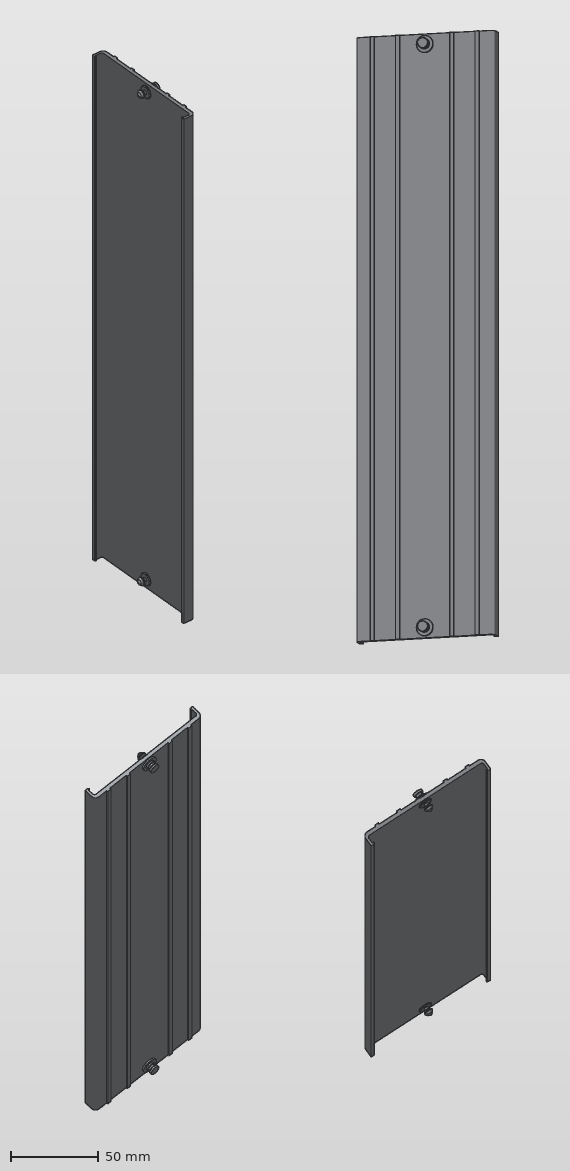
import cadquery as cq

length = 353.0
width = 83.3
flange_depth = 8.5
web_thickness = 2.5
flange_thickness = 1.6
inner_bend_radius = 1.5
outer_bend_radius = inner_bend_radius + flange_thickness
lip_reach = 0.9
lip_thickness = 1.0
lip_chamfer = 0.42
web_front = flange_depth - web_thickness

rib_width = 2.5
rib_height = 0.9
rib_offsets = (16.2, 31.5)

fastener_inset = 6.0
fastener_heights = (fastener_inset, length - fastener_inset)
shank_radius = 1.5
front_collar_radius = 4.2
front_collar_chamfer = 0.53
front_collar_thickness = 0.9
back_flange_radius = 5.0
back_flange_thickness = 1.0
knob_radius = 3.0
knob_groove_radius = 2.0
knob_front_disc_thickness = 1.0
knob_back_disc_thickness = 1.5
knob_end = 13.8
tip_radius = 2.65
tip_end_radius = 0.53
tip_middle_radius = 1.8
tip_middle = 0.9
tip_band_start = 2.0
tip_band_end = 3.0
tip_shoulder = 4.0


def box(x_min, x_max, y_min, y_max):
    """Full-length bar with the given cross-section limits."""
    return (
        cq.Workplane("XY")
        .box(x_max - x_min, y_max - y_min, length, centered=False)
        .translate((x_min, y_min, 0))
    )


def make_panel():
    """Bent channel with lips, back ribs and one hole for each fastener shank."""
    half_width = width / 2
    inner_half = half_width - flange_thickness

    panel = box(-half_width, half_width, 0, flange_depth)
    panel = panel.edges("|Z and >Y").fillet(outer_bend_radius)
    channel = box(-inner_half, inner_half, 0, web_front)
    channel = channel.edges("|Z and >Y").fillet(inner_bend_radius)
    panel = panel.cut(channel)

    lip_inner = inner_half - lip_reach
    left_lip = box(-half_width, -lip_inner, 0, lip_thickness)
    left_lip = left_lip.edges("|Z and >X and <Y").chamfer(lip_chamfer)
    right_lip = left_lip.mirror("YZ")
    panel = panel.union(left_lip).union(right_lip)

    for offset in rib_offsets:
        for x in (-offset, offset):
            rib = box(x - rib_width / 2, x + rib_width / 2, web_front, flange_depth + rib_height)
            panel = panel.union(rib)

    for z in fastener_heights:
        hole = (
            cq.Workplane("XZ", origin=(0, 0, z))
            .circle(shank_radius)
            .extrude(-knob_end)
        )
        panel = panel.cut(hole)
    return panel


def make_fastener(z):
    """Turned fastener along Y: pointed tip, collar, shank, flange and grooved knob."""
    collar_front = web_front - front_collar_thickness
    flange_back = flange_depth + back_flange_thickness
    groove_front = flange_back + knob_front_disc_thickness
    groove_back = knob_end - knob_back_disc_thickness
    profile = [
        (0, 0),
        (tip_end_radius, 0),
        (tip_middle_radius, tip_middle),
        (tip_radius, tip_band_start),
        (tip_radius, tip_band_end),
        (shank_radius, tip_shoulder),
        (shank_radius, collar_front),
        (front_collar_radius - front_collar_chamfer, collar_front),
        (front_collar_radius, collar_front + front_collar_chamfer),
        (front_collar_radius, web_front),
        (shank_radius, web_front),
        (shank_radius, flange_depth),
        (back_flange_radius, flange_depth),
        (back_flange_radius, flange_back),
        (knob_radius, flange_back),
        (knob_radius, groove_front),
        (knob_groove_radius, groove_front),
        (knob_groove_radius, groove_back),
        (knob_radius, groove_back),
        (knob_radius, knob_end),
        (0, knob_end),
    ]
    return (
        cq.Workplane("XY")
        .polyline(profile)
        .close()
        .revolve(360, (0, 0, 0), (0, 1, 0))
        .translate((0, 0, z))
    )


panel = make_panel()
fasteners = [make_fastener(z) for z in fastener_heights]

result = cq.Compound.makeCompound([panel.val(), *[fastener.val() for fastener in fasteners]])